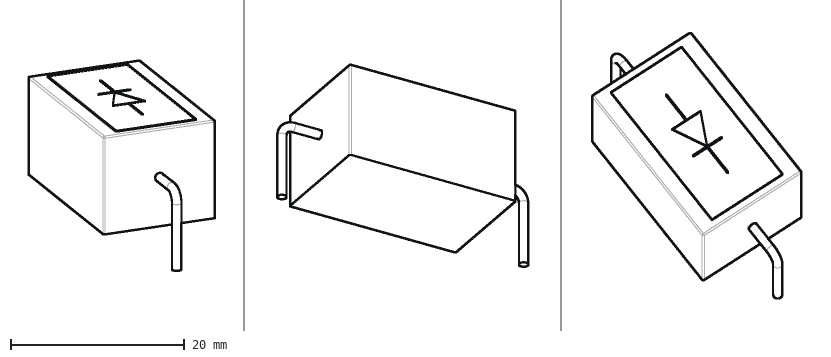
import cadquery as cq

HOUSING_LENGTH = 22.0
HOUSING_WIDTH = 14.0
HOUSING_HEIGHT = 11.98
EDGE_RADIUS = 0.2

OVERALL_LENGTH = 33.1
LEAD_DIAMETER = 1.1
BEND_RADIUS = 1.5
LEAD_DROP = 3.57
LEAD_AXIS_HEIGHT = 6.02
LEAD_X = (OVERALL_LENGTH - LEAD_DIAMETER) / 2

LABEL_LENGTH = 20.0
LABEL_WIDTH = 10.0
LABEL_THICKNESS = 0.1
SYMBOL_LINE_LENGTH = 4.0
SYMBOL_HEIGHT = 4.0
TRIANGLE_LENGTH = 4.1
STROKE_WIDTH = 0.1


def make_housing():
    block = cq.Workplane("XY").box(
        HOUSING_LENGTH, HOUSING_WIDTH, HOUSING_HEIGHT, centered=(True, True, False)
    )
    return block.edges("|Z or >Z").fillet(EDGE_RADIUS)


def make_lead(side):
    """Wire from the housing end face, bent down; side is -1 or +1 along X."""
    bend_x = side * (LEAD_X - BEND_RADIUS)
    path = (
        cq.Workplane("XZ")
        .moveTo(side * HOUSING_LENGTH / 2, LEAD_AXIS_HEIGHT)
        .lineTo(bend_x, LEAD_AXIS_HEIGHT)
        .tangentArcPoint((side * LEAD_X, LEAD_AXIS_HEIGHT - BEND_RADIUS), relative=False)
        .lineTo(side * LEAD_X, -LEAD_DROP)
    )
    section = cq.Workplane("YZ", origin=(side * HOUSING_LENGTH / 2, 0, LEAD_AXIS_HEIGHT))
    return section.circle(LEAD_DIAMETER / 2).sweep(path)


def on_label(outline):
    """Extrude a closed outline, drawn on the housing top, through the label thickness."""
    return outline.extrude(LABEL_THICKNESS)


def housing_top():
    return cq.Workplane("XY", origin=(0, 0, HOUSING_HEIGHT))


def make_triangle():
    tip_x = -TRIANGLE_LENGTH / 2
    base_x = TRIANGLE_LENGTH / 2
    corners = [(tip_x, 0), (base_x, -SYMBOL_HEIGHT / 2), (base_x, SYMBOL_HEIGHT / 2)]
    return on_label(housing_top().polyline(corners).close())


def make_cathode_bar():
    bar_x = -(TRIANGLE_LENGTH + STROKE_WIDTH) / 2
    return on_label(housing_top().center(bar_x, 0).rect(STROKE_WIDTH, SYMBOL_HEIGHT))


def make_symbol_line(inner_x, side):
    """Horizontal stroke of the symbol, running outward from inner_x; side is -1 or +1."""
    middle_x = inner_x + side * SYMBOL_LINE_LENGTH / 2
    return on_label(housing_top().center(middle_x, 0).rect(SYMBOL_LINE_LENGTH, STROKE_WIDTH))


def make_label(inlays):
    """Label plate with an opening for every piece of the symbol."""
    label = on_label(housing_top().rect(LABEL_LENGTH, LABEL_WIDTH))
    for inlay in inlays:
        label = label.cut(inlay)
    return label


housing = make_housing()
leads = [make_lead(side) for side in (-1, 1)]

triangle = make_triangle()
cathode_bar = make_cathode_bar()
cathode_line = make_symbol_line(-TRIANGLE_LENGTH / 2 - STROKE_WIDTH, -1)
anode_line = make_symbol_line(TRIANGLE_LENGTH / 2, 1)
symbol = [triangle, cathode_bar, cathode_line, anode_line]
label = make_label(symbol)

bodies = [housing, *leads, label, *symbol]
result = cq.Compound.makeCompound([body.solids().val() for body in bodies])